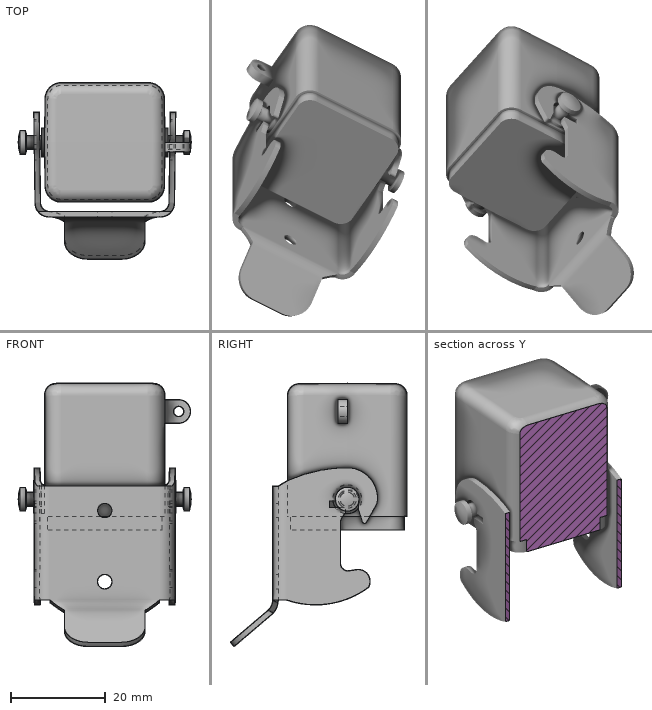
import cadquery as cq
import math


HOUSING_HALF_X = 12.7
HOUSING_HALF_Y = 12.62
HOUSING_TOP = 24.45
SHOULDER_Z = -3.6
LIP_HEIGHT = 2.9
LIP_INSET = 0.6
DRAFT_ANGLE = 0.5
ROOT_DEPTH = 1.0
UNDERCUT = 1.0
CORNER_RADIUS = 3.5
TOP_EDGE_RADIUS = 2.5

EAR_CENTRE_X = 15.6
EAR_CENTRE_Z = 18.5
EAR_RADIUS = 2.5
EAR_HOLE_DIAMETER = 2.1
EAR_THICKNESS = 2.0

PIN_RADIUS = 1.5
PIN_END_X = 18.25
WASHER_RADIUS = 3.05
WASHER_END_X = 13.35
HEAD_RADIUS = 2.52
HEAD_START_X = 16.75
HEAD_RIM_END_X = 17.85
NECK_RADIUS = 1.9
NECK_LENGTH = 0.2

SHEET = 1.2
ARM_HALF_AT_PIN = 14.9
ARM_LEAN_ANGLE = 0.8
ARM_REACH_Y = 8.0
PLATE_Y = -15.75
BEND_RADIUS = 3.0
PLATE_TOP = 2.75
PLATE_BOTTOM = -21.3
PLATE_HOLE_DIAMETER = 3.0
PLATE_HOLE_HEIGHTS = (-2.4, -17.4)

ARM_TOP_AT_BEND = 3.85
ARM_TOP_MID = (-6.4, 5.95)
HOOD_RADIUS = 6.37
HOOD_CENTRE_Z = 0.26
HOOD_END_ANGLE = -11
FINGER_OUTER = (4.1, -4.8)
FINGER_TIP = (3.6, -5.1)
FINGER_INNER = (3.15, -4.65)
PIN_HOLE_RADIUS = 1.95
PIN_HOLE_Y = 0.41
MOUTH_FLARE_Z = -2.2
MOUTH_EDGE_Y = -0.4
MOUTH_EDGE_END_Z = -2.9
MOUTH_CORNER_MID = (-1.0, -3.7)
ARM_EDGE_Y = -1.42
ARM_EDGE_TOP = -4.6
ARM_EDGE_BOTTOM = -13.6
HOOK_THROAT_MID = (-0.9, -14.7)
HOOK_THROAT_END = (0.2, -15.1)
HOOK_NOSE_START = (2.2, -14.8)
HOOK_NOSE_MID = (4.5, -16.1)
HOOK_NOSE_END = (4.5, -18.6)
BELLY_MID = (-6.2, -22.3)

NOTCH_END_Y = -3.75
NOTCH_TOP = -0.35
NOTCH_BOTTOM = -1.8

TAB_ANGLE = 49.6
TAB_BEND_RADIUS = 2.8
OVERALL_Y = 37.27
TAB_TIP_Y = HOUSING_HALF_Y - OVERALL_Y
TAB_HALF_WIDTH = 8.5
TAB_SHOULDER_HALF_WIDTH = 11.5
TAB_CORNER_RADIUS = 5.0

LEVER_SPAN = 40.0


def drafted_block(inset, bottom, top, top_radius=0):
    """Upright block whose two mirrored halves taper away from the parting plane."""
    half_x = HOUSING_HALF_X - inset
    depth = HOUSING_HALF_Y - inset
    height = top - bottom + UNDERCUT
    half = (
        cq.Workplane("XZ")
        .center(0, top - height / 2)
        .rect(2 * half_x, height)
        .extrude(-depth, taper=DRAFT_ANGLE)
        .faces(">Y")
        .edges("|Z")
        .fillet(CORNER_RADIUS - inset)
    )
    if top_radius:
        half = half.faces(">Z").edges("not <Y").fillet(top_radius)
    flat_bottom = (
        cq.Workplane("XY")
        .workplane(offset=bottom)
        .rect(3 * half_x, 3 * depth)
        .extrude(top - bottom)
    )
    return half.union(half.mirror("XZ")).intersect(flat_bottom)


def make_pin(side):
    """Headed hinge pin with a washer face against the housing; side is +1 or -1."""
    neck_x = HEAD_START_X - NECK_LENGTH
    root_x = HOUSING_HALF_X - ROOT_DEPTH
    dome_height = PIN_END_X - HEAD_RIM_END_X
    dome_radius = (HEAD_RADIUS**2 + dome_height**2) / (2 * dome_height)
    dome_mid_y = HEAD_RADIUS / 2
    dome_mid_x = PIN_END_X - dome_radius + math.sqrt(dome_radius**2 - dome_mid_y**2)
    return (
        cq.Workplane("XY")
        .moveTo(side * root_x, 0)
        .lineTo(side * root_x, WASHER_RADIUS)
        .lineTo(side * WASHER_END_X, WASHER_RADIUS)
        .lineTo(side * WASHER_END_X, PIN_RADIUS)
        .lineTo(side * neck_x, PIN_RADIUS)
        .lineTo(side * neck_x, NECK_RADIUS)
        .lineTo(side * HEAD_START_X, HEAD_RADIUS)
        .lineTo(side * HEAD_RIM_END_X, HEAD_RADIUS)
        .threePointArc((side * dome_mid_x, dome_mid_y), (side * PIN_END_X, 0))
        .close()
        .revolve(360, (0, 0, 0), (1, 0, 0))
    )


def make_ear():
    root_x = HOUSING_HALF_X - ROOT_DEPTH
    strap_length = EAR_CENTRE_X - root_x
    strap = (
        cq.Workplane("XZ")
        .center(root_x + strap_length / 2, EAR_CENTRE_Z)
        .rect(strap_length, 2 * EAR_RADIUS)
        .extrude(EAR_THICKNESS)
    )
    eye = cq.Workplane("XZ").center(EAR_CENTRE_X, EAR_CENTRE_Z)
    hole = eye.circle(EAR_HOLE_DIAMETER / 2).extrude(EAR_THICKNESS)
    return strap.union(eye.circle(EAR_RADIUS).extrude(EAR_THICKNESS)).cut(hole)


def make_housing():
    cover = drafted_block(0, SHOULDER_Z, HOUSING_TOP, TOP_EDGE_RADIUS)
    lip = drafted_block(LIP_INSET, SHOULDER_Z - LIP_HEIGHT, SHOULDER_Z + ROOT_DEPTH)
    housing = cover.union(lip).union(make_ear())
    for side in (1, -1):
        housing = housing.union(make_pin(side))
    return housing


def channel_outline(inset):
    """Solid trapezoid column in plan, set in from the outer faces of the lever."""
    lean = math.radians(ARM_LEAN_ANGLE)
    front = PLATE_Y + inset
    half_at_pin = ARM_HALF_AT_PIN - inset / math.cos(lean)
    half_front = half_at_pin + math.tan(lean) * front
    half_back = half_at_pin + math.tan(lean) * ARM_REACH_Y
    return (
        cq.Workplane("XY")
        .polyline([(-half_front, front), (half_front, front),
                   (half_back, ARM_REACH_Y), (-half_back, ARM_REACH_Y)])
        .close()
        .extrude(LEVER_SPAN, both=True)
        .edges("|Z and <Y")
        .fillet(BEND_RADIUS - inset)
    )


def make_channel():
    """U-shaped sheet in plan: the front plate and two slightly splayed arms."""
    return channel_outline(0).cut(channel_outline(SHEET))


def make_arm_profile():
    """Side shape of the lever: hood over the pin, open pin hole, hook and belly."""
    hood_top = HOOD_CENTRE_Z + HOOD_RADIUS
    hood_diagonal = HOOD_RADIUS * math.sqrt(0.5)
    hood_end_angle = math.radians(HOOD_END_ANGLE)
    hood_end = (HOOD_RADIUS * math.cos(hood_end_angle),
                HOOD_CENTRE_Z + HOOD_RADIUS * math.sin(hood_end_angle))
    bend_start_y = PLATE_Y + BEND_RADIUS
    hole_front_y = PIN_HOLE_Y - PIN_HOLE_RADIUS
    hole_back_y = PIN_HOLE_Y + PIN_HOLE_RADIUS
    mouth_top_z = -math.sqrt(PIN_HOLE_RADIUS**2 - (MOUTH_EDGE_Y - PIN_HOLE_Y)**2)
    return (
        cq.Workplane("YZ")
        .moveTo(PLATE_Y, PLATE_BOTTOM)
        .lineTo(PLATE_Y, PLATE_TOP)
        .lineTo(PLATE_Y + SHEET, PLATE_TOP)
        .lineTo(bend_start_y, ARM_TOP_AT_BEND)
        .threePointArc(ARM_TOP_MID, (0, hood_top))
        .threePointArc((hood_diagonal, HOOD_CENTRE_Z + hood_diagonal), hood_end)
        .lineTo(*FINGER_OUTER)
        .threePointArc(FINGER_TIP, FINGER_INNER)
        .lineTo(hole_back_y, MOUTH_FLARE_Z)
        .lineTo(hole_back_y, 0)
        .threePointArc((hole_front_y, 0), (MOUTH_EDGE_Y, mouth_top_z))
        .lineTo(MOUTH_EDGE_Y, MOUTH_EDGE_END_Z)
        .threePointArc(MOUTH_CORNER_MID, (ARM_EDGE_Y, ARM_EDGE_TOP))
        .lineTo(ARM_EDGE_Y, ARM_EDGE_BOTTOM)
        .threePointArc(HOOK_THROAT_MID, HOOK_THROAT_END)
        .lineTo(*HOOK_NOSE_START)
        .threePointArc(HOOK_NOSE_MID, HOOK_NOSE_END)
        .threePointArc(BELLY_MID, (bend_start_y, PLATE_BOTTOM))
        .close()
        .extrude(LEVER_SPAN, both=True)
    )


def make_tab():
    """Sheet strip bent outwards below the plate, narrowing across the bend."""
    slope = math.radians(TAB_ANGLE)
    half_slope = slope / 2
    bend_length = TAB_BEND_RADIUS * math.tan(half_slope)
    knee_z = PLATE_BOTTOM - bend_length
    root_z = PLATE_BOTTOM + ROOT_DEPTH
    drop = (PLATE_Y - TAB_TIP_Y) / math.tan(slope)
    outer_knee = (PLATE_Y, knee_z)
    inner_knee = (PLATE_Y + SHEET, knee_z - SHEET * math.tan(half_slope))
    outer_tip = (TAB_TIP_Y, knee_z - drop)
    inner_tip = (TAB_TIP_Y + SHEET * math.cos(slope), knee_z - drop - SHEET * math.sin(slope))
    strip = (
        cq.Workplane("YZ")
        .polyline([(PLATE_Y, root_z), outer_knee, outer_tip,
                   inner_tip, inner_knee, (PLATE_Y + SHEET, root_z)])
        .close()
        .extrude(TAB_SHOULDER_HALF_WIDTH, both=True)
    )
    for knee, radius in ((outer_knee, TAB_BEND_RADIUS), (inner_knee, TAB_BEND_RADIUS + SHEET)):
        strip = strip.edges(cq.selectors.NearestToPointSelector((0, *knee))).fillet(radius)

    bend_plane = cq.Plane(
        origin=(0, *outer_knee),
        xDir=(1, 0, 0),
        normal=(0, -math.cos(half_slope), math.sin(half_slope)),
    )
    bend_half_height = bend_length * math.cos(half_slope)
    right_edge = [
        (TAB_HALF_WIDTH, -LEVER_SPAN),
        (TAB_HALF_WIDTH, -bend_half_height),
        (TAB_SHOULDER_HALF_WIDTH, bend_half_height),
        (TAB_SHOULDER_HALF_WIDTH, LEVER_SPAN),
    ]
    left_edge = [(-x, y) for x, y in reversed(right_edge)]
    outline = (
        cq.Workplane(bend_plane)
        .polyline(right_edge + left_edge)
        .close()
        .extrude(LEVER_SPAN, both=True)
    )
    tab = strip.intersect(outline)

    tip_y = (outer_tip[0] + inner_tip[0]) / 2
    tip_z = (outer_tip[1] + inner_tip[1]) / 2
    for side in (1, -1):
        corner = (side * TAB_HALF_WIDTH, tip_y, tip_z)
        tab = tab.edges(cq.selectors.NearestToPointSelector(corner)).fillet(TAB_CORNER_RADIUS)
    return tab


def make_lever():
    lever = make_channel().intersect(make_arm_profile()).union(make_tab())
    notch = (
        cq.Workplane("YZ")
        .center(NOTCH_END_Y / 2, (NOTCH_TOP + NOTCH_BOTTOM) / 2)
        .rect(-NOTCH_END_Y, NOTCH_TOP - NOTCH_BOTTOM)
        .extrude(LEVER_SPAN, both=True)
    )
    holes = (
        cq.Workplane("XZ", origin=(0, PLATE_Y + 2 * SHEET, 0))
        .pushPoints([(0, z) for z in PLATE_HOLE_HEIGHTS])
        .circle(PLATE_HOLE_DIAMETER / 2)
        .extrude(3 * SHEET)
    )
    return lever.cut(notch).cut(holes)


housing = make_housing()
lever = make_lever()
result = cq.Compound.makeCompound([housing.val(), lever.val()])